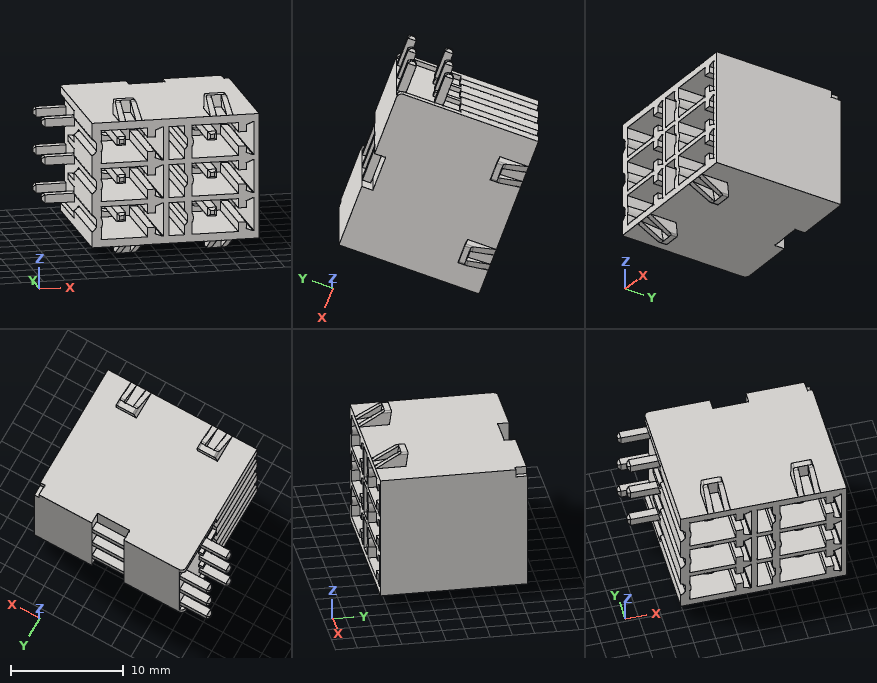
import cadquery as cq


WIDTH = 15.25
DEPTH = 13.3
HEIGHT = 11.5
CORNER_RADIUS = 0.5

ROW_PITCH = 3.5
COLUMN_PITCH = 8.28
ROWS = (-ROW_PITCH, 0, ROW_PITCH)
COLUMNS = (0, COLUMN_PITCH)

SOCKET_DEPTH = 7.33
SOCKET_LEFT = 0.85
SOCKET_HALF_HEIGHT = 1.51
NECK_START = 5.05
NECK_END = 5.78
NECK_HALF_HEIGHT = 0.65
FLARE_HALF_HEIGHT = 1.28
SOCKET_RIGHT_FLOOR = 6.39
SOCKET_RIGHT_MOUTH = 6.5

GROOVE_DEPTH = 0.43
GROOVE_HALF_HEIGHT = 0.77
GROOVE_FLOOR_HALF_HEIGHT = 0.34
GROOVE_BULGE = 0.027
BUMP_RADIUS_MOUTH = 0.96
BUMP_RADIUS_FLOOR = 1.09

SLOT_LEFT = 7.03
SLOT_RIGHT = 8.44

PIN_SIZE = 0.8
PIN_X = 3.03
PIN_TIP_Y = 1.39
PIN_TIP_LENGTH = 0.25
PIN_TIP_SIZE = 0.37
PIN_WELL_RADIUS = 1.03
PIN_WELL_FLOOR_RADII = (0.96, PIN_WELL_RADIUS)
PIN_WELL_DEPTH = 0.71
TAIL_LENGTH = 2.55
TAIL_FRONT_Y = 9.33
TAIL_REAR_Y = TAIL_FRONT_Y + ROW_PITCH

RECESS_HALF_HEIGHT_FRONT = 4.95
RECESS_HALF_HEIGHT_REAR = 5.02
TAB_END_Y = 9.85
TAB_HALF_HEIGHT_ROOT = 0.3
TAB_HALF_HEIGHT_END = 0.27

NOTCH_DEPTH = 1.05
NOTCH_LEFT = 6.1
NOTCH_RIGHT = 9.38
CORNER_NOTCH_WIDTH = 0.48
CORNER_NOTCH_HEIGHT = 0.71

HOOK_X = 3.55
HOOK_HEIGHT = 1.3
HOOK_BASE_WIDTH = 2.06
HOOK_TOP_WIDTH = 1.85
HOOK_TOP_RADIUS = 0.16
HOOK_RAMP_END = (2.14, 1.2)
HOOK_TOP_FRONT_Y = 2.35
HOOK_REAR_BASE_Y = 2.75
HOOK_REAR_TOP_Y = 2.95
HOOK_GROOVE_WIDTH = 0.93
HOOK_GROOVE_FLOOR_RISE = 0.2
HOOK_GROOVE_BASE_Y = 2.17
HOOK_GROOVE_TOP_Y = 2.37


def front_plane(x, y, z):
    """Sketch plane parallel to the mating face; extrusion runs into the housing (+Y)."""
    return cq.Workplane(cq.Plane((x, y, z), xDir=(1, 0, 0), normal=(0, -1, 0)))


def block(x_range, y_range, z_range):
    """Axis-aligned box between the given limits."""
    lows, highs = zip(x_range, y_range, z_range)
    sizes = [high - low for low, high in zip(lows, highs)]
    return cq.Workplane("XY").box(*sizes, centered=False).translate(lows)


def housing_block():
    half = HEIGHT / 2
    body = block((0, WIDTH), (0, DEPTH), (-half, half))
    return body.edges("|Z and <X and >Y").fillet(CORNER_RADIUS)


def coding_groove(x, z):
    """Groove along Y with a flat floor and rounded flanks."""
    middle_depth = GROOVE_DEPTH / 2 + GROOVE_BULGE
    middle_height = (GROOVE_HALF_HEIGHT + GROOVE_FLOOR_HALF_HEIGHT) / 2 + GROOVE_BULGE
    return (
        front_plane(x, 0, z)
        .moveTo(0, -GROOVE_HALF_HEIGHT)
        .threePointArc((middle_depth, -middle_height), (GROOVE_DEPTH, -GROOVE_FLOOR_HALF_HEIGHT))
        .lineTo(GROOVE_DEPTH, GROOVE_FLOOR_HALF_HEIGHT)
        .threePointArc((middle_depth, middle_height), (0, GROOVE_HALF_HEIGHT))
        .close()
        .extrude(-SOCKET_DEPTH)
    )


def socket(x, z, well_floor_radius):
    """Keyhole cavity with a drafted end wall, a bump on its left wall and a well around the pin."""
    upper = [
        (SOCKET_RIGHT_FLOOR, SOCKET_HALF_HEIGHT),
        (NECK_END, FLARE_HALF_HEIGHT),
        (NECK_END, NECK_HALF_HEIGHT),
        (NECK_START, NECK_HALF_HEIGHT),
        (NECK_START, SOCKET_HALF_HEIGHT),
        (SOCKET_LEFT, SOCKET_HALF_HEIGHT),
    ]
    lower = [(px, -pz) for px, pz in reversed(upper)]
    keyhole = front_plane(x, 0, z).polyline(upper + lower).close().extrude(-SOCKET_DEPTH)
    end_wall_draft = (
        cq.Workplane("XY", origin=(x, 0, z - SOCKET_HALF_HEIGHT))
        .polyline([(SOCKET_RIGHT_FLOOR, 0), (SOCKET_RIGHT_MOUTH, 0), (SOCKET_RIGHT_FLOOR, SOCKET_DEPTH)])
        .close()
        .extrude(2 * SOCKET_HALF_HEIGHT)
    )
    bump = (
        front_plane(x, 0, z)
        .circle(BUMP_RADIUS_MOUTH)
        .workplane(offset=-SOCKET_DEPTH)
        .circle(BUMP_RADIUS_FLOOR)
        .loft(ruled=True)
    )
    well = (
        front_plane(x + PIN_X, SOCKET_DEPTH, z)
        .circle(PIN_WELL_RADIUS)
        .workplane(offset=-PIN_WELL_DEPTH)
        .circle(well_floor_radius)
        .loft(ruled=True)
    )
    return keyhole.union(end_wall_draft).cut(bump).union(well)


def middle_slot(z):
    """Slot between the socket columns, opening into the groove of the right-hand column."""
    z_range = (z - SOCKET_HALF_HEIGHT, z + SOCKET_HALF_HEIGHT)
    return block((SLOT_LEFT, SLOT_RIGHT), (0, SOCKET_DEPTH), z_range)


def tail_recess():
    """Drafted recess in the left side, open to the rear, less the tabs between the rows."""
    side_plane = cq.Workplane("YZ")
    recess = (
        side_plane.polyline([
            (SOCKET_DEPTH, -RECESS_HALF_HEIGHT_FRONT),
            (DEPTH, -RECESS_HALF_HEIGHT_REAR),
            (DEPTH, RECESS_HALF_HEIGHT_REAR),
            (SOCKET_DEPTH, RECESS_HALF_HEIGHT_FRONT),
        ])
        .close()
        .extrude(GROOVE_DEPTH)
    )
    tab = (
        side_plane.polyline([
            (SOCKET_DEPTH, -TAB_HALF_HEIGHT_ROOT),
            (TAB_END_Y, -TAB_HALF_HEIGHT_END),
            (TAB_END_Y, TAB_HALF_HEIGHT_END),
            (SOCKET_DEPTH, TAB_HALF_HEIGHT_ROOT),
        ])
        .close()
        .extrude(GROOVE_DEPTH)
    )
    for z in (-ROW_PITCH / 2, ROW_PITCH / 2):
        recess = recess.cut(tab.translate((0, 0, z)))
    return recess


def rear_notches():
    """Full-height notch in the rear edge and a shallow one in the upper right corner."""
    half = HEIGHT / 2
    y_range = (DEPTH - NOTCH_DEPTH, DEPTH)
    centre_notch = block((NOTCH_LEFT, NOTCH_RIGHT), y_range, (-half, half))
    corner_notch = block((WIDTH - CORNER_NOTCH_WIDTH, WIDTH), y_range, (half - CORNER_NOTCH_HEIGHT, half))
    return centre_notch.union(corner_notch)


def square_pin(tip_plane, length):
    """Square bar running back from a pyramid-shaped tip at the origin of the plane."""
    tip = (
        tip_plane.rect(PIN_TIP_SIZE, PIN_TIP_SIZE)
        .workplane(offset=-PIN_TIP_LENGTH)
        .rect(PIN_SIZE, PIN_SIZE)
        .loft(ruled=True)
    )
    shank = (
        tip_plane.workplane(offset=-PIN_TIP_LENGTH)
        .rect(PIN_SIZE, PIN_SIZE)
        .extrude(PIN_TIP_LENGTH - length)
    )
    return tip.union(shank)


def contact(column_x, tail_y, z):
    """Angled contact: one leg in the socket, the tail leaving through the left side."""
    leg_x = column_x + PIN_X
    leg = square_pin(front_plane(leg_x, PIN_TIP_Y, z), tail_y - PIN_TIP_Y)
    tail_plane = cq.Workplane("YZ", origin=(-TAIL_LENGTH, tail_y, z)).transformed(rotate=(0, 180, 0))
    tail = square_pin(tail_plane, TAIL_LENGTH + leg_x + PIN_SIZE / 2)
    return leg.union(tail)


def hook(x):
    """Ramped latching hook on the top face, hollowed by a groove up the middle of its ramp."""
    side = (
        cq.Workplane("YZ", origin=(x - HOOK_BASE_WIDTH / 2, 0, HEIGHT / 2))
        .polyline([
            (0, 0),
            HOOK_RAMP_END,
            (HOOK_TOP_FRONT_Y, HOOK_HEIGHT),
            (HOOK_REAR_TOP_Y, HOOK_HEIGHT),
            (HOOK_REAR_BASE_Y, 0),
        ])
        .close()
        .extrude(HOOK_BASE_WIDTH)
    )
    drafted_sides = (
        front_plane(x, 0, HEIGHT / 2)
        .polyline([
            (-HOOK_BASE_WIDTH / 2, 0),
            (HOOK_BASE_WIDTH / 2, 0),
            (HOOK_TOP_WIDTH / 2, HOOK_HEIGHT),
            (-HOOK_TOP_WIDTH / 2, HOOK_HEIGHT),
        ])
        .close()
        .extrude(-HOOK_REAR_TOP_Y)
        .edges("|Y and >Z")
        .fillet(HOOK_TOP_RADIUS)
    )
    groove = (
        cq.Workplane("YZ", origin=(x - HOOK_GROOVE_WIDTH / 2, 0, HEIGHT / 2))
        .polyline([
            (0, 0),
            (HOOK_GROOVE_BASE_Y, HOOK_GROOVE_FLOOR_RISE),
            (HOOK_GROOVE_TOP_Y, HOOK_HEIGHT),
            (0, HOOK_HEIGHT),
        ])
        .close()
        .extrude(HOOK_GROOVE_WIDTH)
    )
    return side.intersect(drafted_sides).cut(groove)


result = housing_block().cut(tail_recess()).cut(rear_notches())
for row_z in ROWS:
    result = result.cut(middle_slot(row_z))
    for column_x, well_floor_radius in zip(COLUMNS, PIN_WELL_FLOOR_RADII):
        result = result.cut(coding_groove(column_x, row_z))
        result = result.cut(socket(column_x, row_z, well_floor_radius))

for row_z in ROWS:
    for column_x, tail_y in zip(COLUMNS, (TAIL_FRONT_Y, TAIL_REAR_Y)):
        result = result.union(contact(column_x, tail_y, row_z))

for column_x in COLUMNS:
    top_hook = hook(column_x + HOOK_X)
    result = result.union(top_hook).union(top_hook.mirror("XY"))